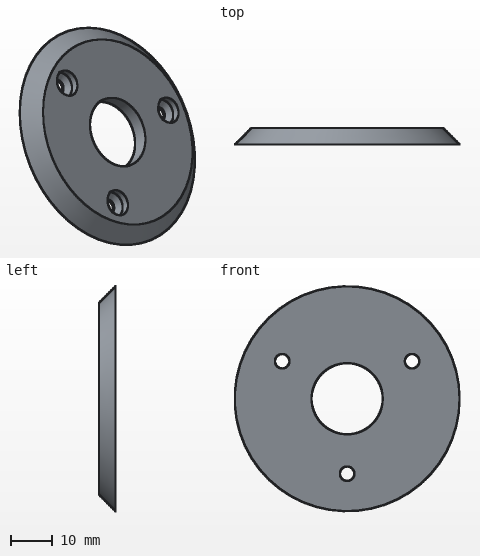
import cadquery as cq

front_diameter = 54.0
back_diameter = 46.0
thickness = 4.0
bore_diameter = 17.0

screw_hole_count = 3
screw_hole_diameter = 3.4
screw_circle_radius = 18.0

land_thickness = 0.55
head_diameter = 6.25
cone_depth = (head_diameter - screw_hole_diameter) / 2


def bevelled_disc():
    """Revolve the half section, bore included, around the Y axis."""
    half_section = [
        (bore_diameter / 2, 0),
        (front_diameter / 2, 0),
        (back_diameter / 2, thickness),
        (bore_diameter / 2, thickness),
    ]
    return cq.Workplane("XY").polyline(half_section).close().revolve(360, (0, 0), (0, 1))


def screw_hole():
    """Solid of one countersunk screw hole, centred on the Y axis."""
    half_section = [
        (0, 0),
        (screw_hole_diameter / 2, 0),
        (screw_hole_diameter / 2, land_thickness),
        (head_diameter / 2, land_thickness + cone_depth),
        (head_diameter / 2, thickness),
        (0, thickness),
    ]
    return cq.Workplane("XY").polyline(half_section).close().revolve(360, (0, 0), (0, 1))


result = bevelled_disc()
lowest_hole = screw_hole().translate((0, 0, -screw_circle_radius))
for hole_index in range(screw_hole_count):
    hole_angle = hole_index * 360 / screw_hole_count
    result = result.cut(lowest_hole.rotate((0, 0, 0), (0, 1, 0), hole_angle))